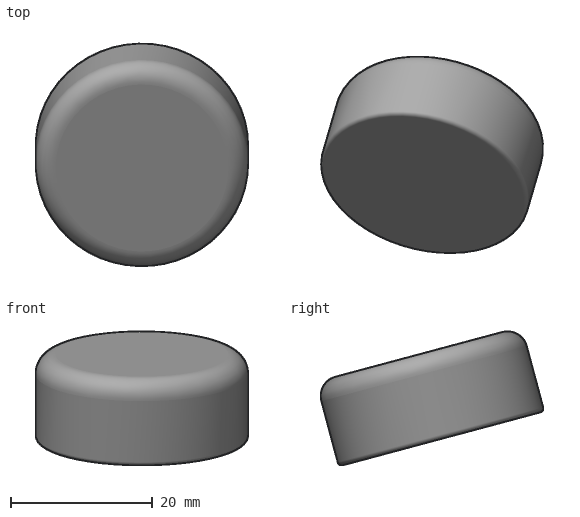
import cadquery as cq

diameter = 30.0
height = 12.35
top_fillet = 2.83
bottom_fillet = 0.6
tilt_angle = 15.0

puck = cq.Workplane("XY").circle(diameter / 2).extrude(height)

puck = puck.faces(">Z").edges().fillet(top_fillet)
puck = puck.faces("<Z").edges().fillet(bottom_fillet)

result = puck.rotate((0, 0, 0), (1, 0, 0), tilt_angle)